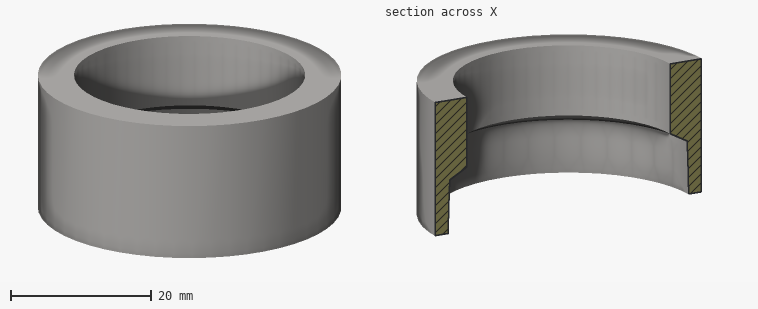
import cadquery as cq

OUTER_DIAMETER = 43.33
HEIGHT = 20.0
BORE_DIAMETER = 33.0
BORE_END_HEIGHT = 9.5
SOCKET_DEPTH = 8.0
SOCKET_MOUTH_DIAMETER = 39.0
SOCKET_INNER_DIAMETER = 38.5


def ring_section():
    """Closed half section of the ring, drawn on the -X side of the axis."""
    outer_radius = OUTER_DIAMETER / 2
    bore_radius = BORE_DIAMETER / 2
    mouth_radius = SOCKET_MOUTH_DIAMETER / 2
    inner_radius = SOCKET_INNER_DIAMETER / 2
    return (
        cq.Workplane("XZ")
        .moveTo(-mouth_radius, 0)
        .lineTo(-outer_radius, 0)
        .lineTo(-outer_radius, HEIGHT)
        .lineTo(-bore_radius, HEIGHT)
        .lineTo(-bore_radius, BORE_END_HEIGHT)
        .lineTo(-inner_radius, SOCKET_DEPTH)
        .close()
    )


result = ring_section().revolve(360, (0, 0), (0, 1))